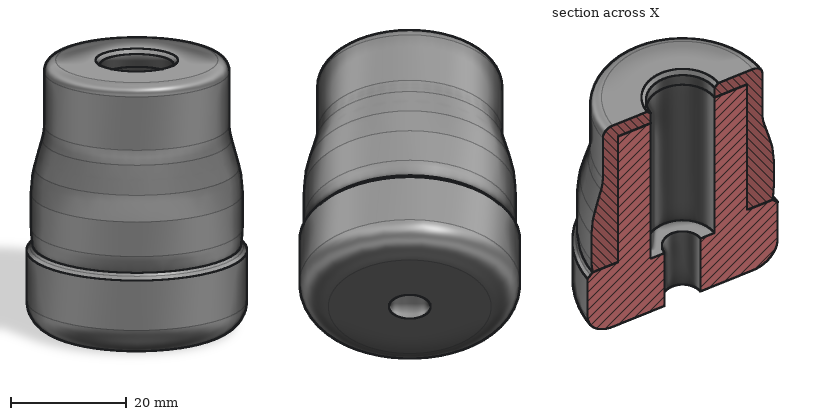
import cadquery as cq
import math

total_height = 48.03
bore_radius = 6.35
bore_floor_height = 12.7
screw_hole_radius = 3.58

flange_radius = 19.05
flange_bottom_fillet = 5.0
flange_straight_top = 13.95
flange_chamfer = 0.6
seat_height = 15.05

neck_radius = 16.0
belly_radius = 18.29
top_fillet = 2.0
neck_bottom = 36.45
neck_arc_radius = 10.0
belly_arc_radius = 17.8
belly_straight_bottom = 18.03
cone_angle = math.radians(15)
mouth_chamfer = 0.76

cover_wall = 3.05

stem_radius = neck_radius - cover_wall
stem_top = total_height - cover_wall
chamfer_top = flange_straight_top + flange_chamfer
chamfer_top_radius = flange_radius - flange_chamfer


def arc_point(center_radius, center_height, arc_radius, angle):
    """Radius and height of a point on an arc, with the angle measured from the outward radial direction."""
    return (
        center_radius + arc_radius * math.cos(angle),
        center_height + arc_radius * math.sin(angle),
    )


neck_center_radius = neck_radius + neck_arc_radius
neck_arc_middle = arc_point(neck_center_radius, neck_bottom, neck_arc_radius, math.pi + cone_angle / 2)
cone_top = arc_point(neck_center_radius, neck_bottom, neck_arc_radius, math.pi + cone_angle)

belly_center_radius = belly_radius - belly_arc_radius
cone_bottom_radius = belly_center_radius + belly_arc_radius * math.cos(cone_angle)
cone_bottom_height = cone_top[1] - (cone_bottom_radius - cone_top[0]) / math.tan(cone_angle)
belly_straight_top = cone_bottom_height - belly_arc_radius * math.sin(cone_angle)
belly_arc_middle = arc_point(belly_center_radius, belly_straight_top, belly_arc_radius, cone_angle / 2)

tuck_angle = math.asin((belly_straight_bottom - seat_height) / belly_arc_radius)
tuck_middle = arc_point(belly_center_radius, belly_straight_bottom, belly_arc_radius, -tuck_angle / 2)
tuck_end = arc_point(belly_center_radius, belly_straight_bottom, belly_arc_radius, -tuck_angle)


def revolve_profile(profile):
    """Turn a radius-height profile drawn on the XZ plane about the Z axis."""
    return profile.close().revolve(360, (0, 0, 0), (0, 1, 0))


def make_core():
    """Flanged core: stem with a deep bore and a screw hole through its floor."""
    profile = (
        cq.Workplane("XZ")
        .moveTo(screw_hole_radius, 0)
        .lineTo(flange_radius - flange_bottom_fillet, 0)
        .radiusArc((flange_radius, flange_bottom_fillet), -flange_bottom_fillet)
        .lineTo(flange_radius, flange_straight_top)
        .lineTo(chamfer_top_radius, chamfer_top)
        .lineTo(*tuck_end)
        .lineTo(stem_radius, seat_height)
        .lineTo(stem_radius, stem_top)
        .lineTo(bore_radius, stem_top)
        .lineTo(bore_radius, bore_floor_height)
        .lineTo(screw_hole_radius, bore_floor_height)
    )
    return revolve_profile(profile)


def make_cover():
    """Bottle-shaped cover that closes over the stem and sits on the flange."""
    profile = (
        cq.Workplane("XZ")
        .moveTo(stem_radius, seat_height)
        .lineTo(*tuck_end)
        .threePointArc(tuck_middle, (belly_radius, belly_straight_bottom))
        .lineTo(belly_radius, belly_straight_top)
        .threePointArc(belly_arc_middle, (cone_bottom_radius, cone_bottom_height))
        .lineTo(*cone_top)
        .threePointArc(neck_arc_middle, (neck_radius, neck_bottom))
        .lineTo(neck_radius, total_height - top_fillet)
        .radiusArc((neck_radius - top_fillet, total_height), -top_fillet)
        .lineTo(bore_radius + mouth_chamfer, total_height)
        .lineTo(bore_radius, total_height - mouth_chamfer)
        .lineTo(bore_radius, stem_top)
        .lineTo(stem_radius, stem_top)
    )
    return revolve_profile(profile)


core = make_core()
cover = make_cover()
result = cq.Compound.makeCompound([core.val(), cover.val()])